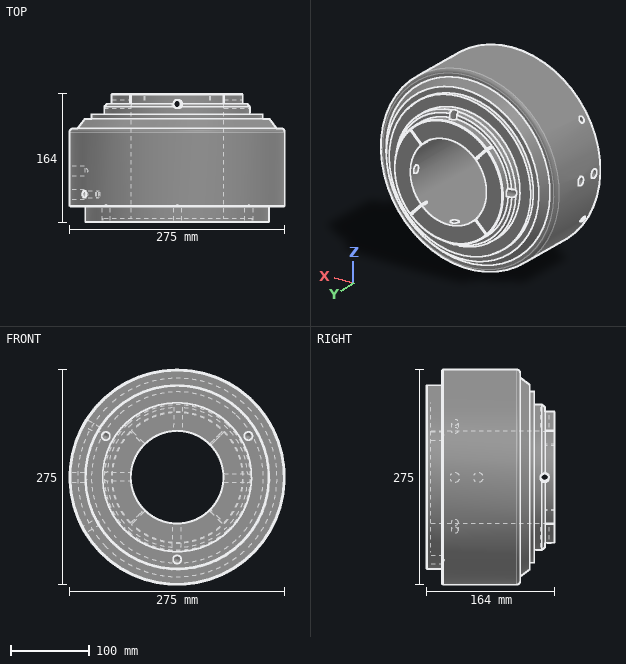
import cadquery as cq
import math

front_flange_radius = 117.5
body_radius = 137.5
body_front_y = 20
body_back_y = 120
bore_radius = 59
total_length = 164

seam_angle = -90

flange_chamfer = 1
recess_radius = 95
recess_depth = 5

body_back_fillet_radius = 5
body_front_chamfer = 1.5

cone_base_radius = 127
cone_top_radius = 118
cone_back_y = 132
shoulder_radius = 109.5
shoulder_back_y = 138
collar_radius = 93
collar_back_y = 151.5
collar_chamfer_length = 4
collar_chamfer_depth = 3.5
collet_radius = 84
collet_chamfer = 1

clocking_angle = 0.75
face_hole_diameter = 10.5
face_hole_circle_radius = 105
face_hole_depth = 20
face_hole_angles = (30, 150, 270)
side_hole_diameter = 12.5
side_hole_y_positions = (36, 66)
small_hole_diameter = 9
small_hole_y = 36
small_hole_angles = (150 - clocking_angle, 210 - clocking_angle)
body_hole_depth = 20
drill_point_angle = 118
collar_hole_diameter = 11
collar_hole_y = 151
collar_hole_axis_angles = (-clocking_angle, 90 - clocking_angle)
slit_width = 2
slit_plane_angles = (45, 135)


def turned_body():
    """Revolve the half section about the Y axis."""
    fillet_start = (body_radius, body_back_y - body_back_fillet_radius)
    fillet_end = (body_radius - body_back_fillet_radius, body_back_y)
    front_outline = [
        (bore_radius, recess_depth),
        (recess_radius, recess_depth),
        (recess_radius, 0),
        (front_flange_radius - flange_chamfer, 0),
        (front_flange_radius, flange_chamfer),
        (front_flange_radius, body_front_y),
        (body_radius - body_front_chamfer, body_front_y),
        (body_radius, body_front_y + body_front_chamfer),
        fillet_start,
    ]
    back_outline = [
        (cone_base_radius, body_back_y),
        (cone_top_radius, cone_back_y),
        (shoulder_radius, cone_back_y),
        (shoulder_radius, shoulder_back_y),
        (collar_radius, shoulder_back_y),
        (collar_radius, collar_back_y - collar_chamfer_length),
        (collar_radius - collar_chamfer_depth, collar_back_y),
        (collet_radius, collar_back_y),
        (collet_radius, total_length - collet_chamfer),
        (collet_radius - collet_chamfer, total_length),
        (bore_radius, total_length),
    ]
    section = (
        cq.Workplane("XY")
        .polyline(front_outline)
        .tangentArcPoint(fillet_end, relative=False)
        .polyline(back_outline, includeCurrent=True)
        .close()
    )
    turned = section.revolve(360, (0, 0, 0), (0, 1, 0))
    return turned.rotate((0, 0, 0), (0, 1, 0), seam_angle)


def radial_direction(angle):
    """Outward unit vector in the XZ plane, angle in degrees from +X towards +Z."""
    return cq.Vector(math.cos(math.radians(angle)), 0, math.sin(math.radians(angle)))


def drill(start, direction, diameter, depth):
    """Blind drill: a cylinder with a conical point beyond the full-diameter depth."""
    radius = diameter / 2
    point_length = radius / math.tan(math.radians(drill_point_angle / 2))
    shank = cq.Solid.makeCylinder(radius, depth, start, direction)
    point = cq.Solid.makeCone(radius, 0, point_length, start + direction * depth, direction)
    return shank.fuse(point)


def body_side_drill(angle, y, diameter):
    """Radial blind drill entering at the body's outer surface."""
    outward = radial_direction(angle)
    start = outward * body_radius + cq.Vector(0, y, 0)
    return drill(start, outward * -1, diameter, body_hole_depth)


def collar_cutter(axis_angle):
    """Drill straight across the part, through both walls where the collar meets the collet."""
    outward = radial_direction(axis_angle)
    start = outward * -body_radius + cq.Vector(0, collar_hole_y, 0)
    return cq.Solid.makeCylinder(collar_hole_diameter / 2, 2 * body_radius, start, outward)


def slit_cutter(plane_angle):
    """Thin plate across the whole diameter that splits the collet wall down to the collar."""
    slit_length = total_length - collar_back_y
    plate = cq.Workplane("XY").box(2 * body_radius, slit_length, slit_width)
    return plate.rotate((0, 0, 0), (0, 1, 0), -plane_angle).translate((0, collar_back_y + slit_length / 2, 0))


result = turned_body()

for hole_angle in face_hole_angles:
    face_hole_center = radial_direction(hole_angle) * face_hole_circle_radius
    result = result.cut(drill(face_hole_center, cq.Vector(0, 1, 0), face_hole_diameter, face_hole_depth))

for side_hole_y in side_hole_y_positions:
    result = result.cut(body_side_drill(180, side_hole_y, side_hole_diameter))

for hole_angle in small_hole_angles:
    result = result.cut(body_side_drill(hole_angle, small_hole_y, small_hole_diameter))

for hole_angle in collar_hole_axis_angles:
    result = result.cut(collar_cutter(hole_angle))

for slit_angle in slit_plane_angles:
    result = result.cut(slit_cutter(slit_angle))